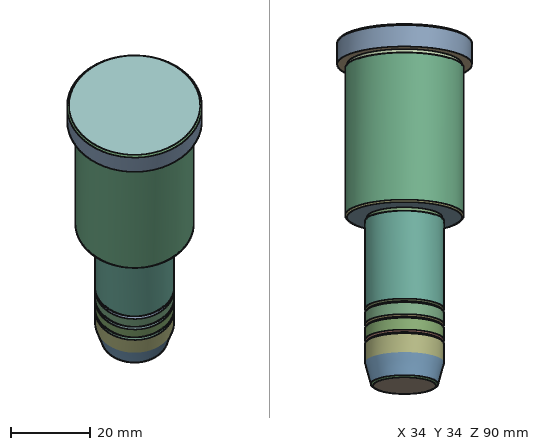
import cadquery as cq
import math

total_length = 90.0
head_diameter = 34.0
head_height = 6.0
head_chamfer = 0.495

body_diameter = 30.0
body_end_depth = 46.0
body_chamfer = 0.495

shank_diameter = 20.0
taper_length = 6.0
taper_angle = 15.0
tip_chamfer = 0.45

relief_depth = 0.495
head_relief_width = 1.0
body_relief_width = 1.0

ring_groove_count = 3
ring_groove_depth = 0.495
ring_groove_pitch = 4.05
first_ring_groove_position = 70.5


def cylinder_from_top(diameter, start_depth, end_depth):
    """Solid cylinder between two depths below the top of the head."""
    return (
        cq.Workplane("XY")
        .workplane(offset=total_length - end_depth)
        .circle(diameter / 2)
        .extrude(end_depth - start_depth)
    )


def groove(diameter, depth, start_depth, width):
    """Ring of material to remove from a cylinder of the given diameter."""
    end_depth = start_depth + width
    outer = cylinder_from_top(diameter, start_depth, end_depth)
    core = cylinder_from_top(diameter - 2 * depth, start_depth, end_depth)
    return outer.cut(core)


def make_shank():
    """Cylindrical shank with its conical tip and a small end chamfer."""
    radius = shank_diameter / 2
    tip_radius = radius - taper_length * math.tan(math.radians(taper_angle))
    return (
        cq.Workplane("XZ")
        .moveTo(0, 0)
        .lineTo(tip_radius, 0)
        .lineTo(radius, taper_length)
        .lineTo(radius, total_length - body_end_depth)
        .lineTo(0, total_length - body_end_depth)
        .close()
        .revolve(360, (0, 0, 0), (0, 1, 0))
        .faces("<Z")
        .chamfer(tip_chamfer)
    )


head = cylinder_from_top(head_diameter, 0, head_height).faces(">Z").chamfer(head_chamfer)
body = cylinder_from_top(body_diameter, head_height, body_end_depth).faces("<Z").chamfer(body_chamfer)
result = head.union(body).union(make_shank())

result = result.cut(groove(body_diameter, relief_depth, head_height, head_relief_width))
result = result.cut(groove(shank_diameter, relief_depth, body_end_depth, body_relief_width))

shank_radius = shank_diameter / 2
for index in range(ring_groove_count):
    groove_height = total_length - first_ring_groove_position - index * ring_groove_pitch
    ring = (
        cq.Workplane("XZ")
        .moveTo(shank_radius - ring_groove_depth, groove_height)
        .lineTo(shank_radius + ring_groove_depth, groove_height + 2 * ring_groove_depth)
        .lineTo(shank_radius + ring_groove_depth, groove_height - 2 * ring_groove_depth)
        .close()
        .revolve(360, (0, 0, 0), (0, 1, 0))
    )
    result = result.cut(ring)